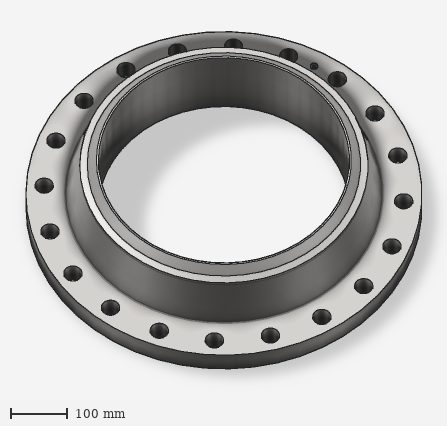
import cadquery as cq
import math

flange_radius = 349.0
total_height = 149.5

raised_face_radius = 298.0
raised_face_height = 6.0
flange_top = 48.0

hub_base_radius = 279.0
hub_root_fillet = 2.0
neck_radius = 254.0
neck_bottom = 128.5

bore_radius = 221.5
root_land_width = 3.5
bevel_outer_radius = 241.0
bevel_angle = 37.5
shallow_bevel_angle = 10.0

bolt_circle_diameter = 635.0
bolt_circle_radius = bolt_circle_diameter / 2
bolt_hole_diameter = 32.0
bolt_count = 20

jack_hole_diameter = 8.0
jack_counterbore_diameter = 13.0
jack_counterbore_depth = 2.0
jack_hole_depth = 21.0
bolt_pitch_angle = 360.0 / bolt_count
jack_hole_angle = 90.0 + bolt_pitch_angle / 2


def flange_body():
    """Revolve the half section (radius, height) about Z."""
    land_radius = bore_radius + root_land_width
    bevel_drop = (bevel_outer_radius - land_radius) * math.tan(math.radians(bevel_angle))
    bevel_bottom = total_height - bevel_drop
    shallow_drop = (neck_radius - bevel_outer_radius) * math.tan(math.radians(shallow_bevel_angle))
    section = [
        (bore_radius, 0),
        (raised_face_radius, 0),
        (raised_face_radius, raised_face_height),
        (flange_radius, raised_face_height),
        (flange_radius, flange_top),
        (hub_base_radius, flange_top),
        (neck_radius, neck_bottom),
        (neck_radius, bevel_bottom - shallow_drop),
        (bevel_outer_radius, bevel_bottom),
        (land_radius, total_height),
        (bore_radius, total_height),
    ]
    body = cq.Workplane("XZ").polyline(section).close().revolve(360, (0, 0), (0, 1))
    hub_root = body.edges(cq.selectors.RadiusNthSelector(-3))
    return hub_root.fillet(hub_root_fillet)


def bolt_holes():
    """Through holes evenly spaced on the bolt circle."""
    return (
        cq.Workplane("XY")
        .polarArray(bolt_circle_radius, 0, 360, bolt_count)
        .circle(bolt_hole_diameter / 2)
        .extrude(flange_top)
    )


def jack_hole():
    """Counterbored blind hole sunk from the top of the flange plate."""
    angle = math.radians(jack_hole_angle)
    x = bolt_circle_radius * math.cos(angle)
    y = bolt_circle_radius * math.sin(angle)
    mouth = cq.Workplane("XY", origin=(x, y, flange_top))
    bore = mouth.circle(jack_hole_diameter / 2).extrude(-jack_hole_depth)
    counterbore = mouth.circle(jack_counterbore_diameter / 2).extrude(-jack_counterbore_depth)
    return bore.union(counterbore)


result = flange_body().cut(bolt_holes()).cut(jack_hole())